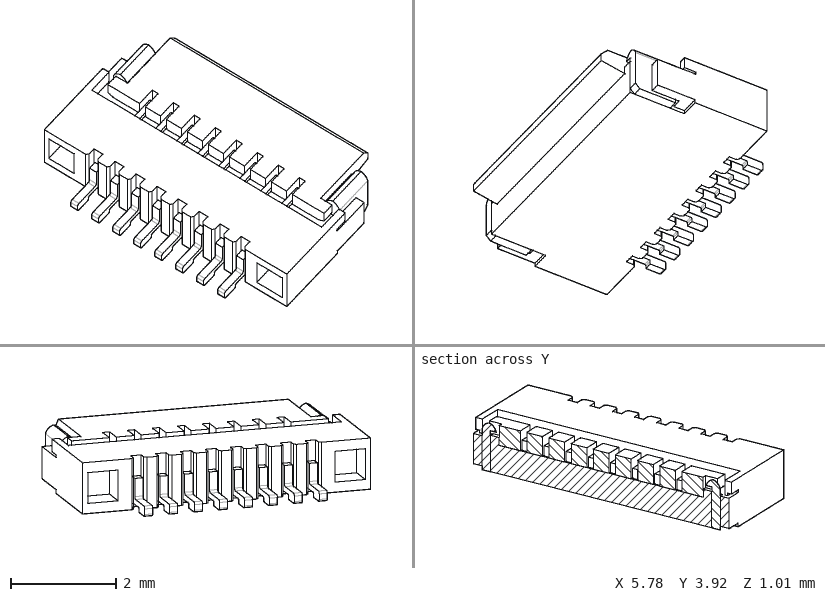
import cadquery as cq


width = 5.78
height = 1.01
half_width = width / 2
roof_depth = 1.305
floor_depth = 2.825
floor_z = 0.71
bed_z = 0.6
cheek_z = 0.765
wall_inner_x = 2.74
wall_end_y = 1.85
slit_inner_x = 2.805
relief_rear_y = 1.61
arm_end_y = 2.45
arm_bottom_z = 0.075

pocket_size = 0.605
pocket_center_x = 2.48
pocket_bottom_z = 0.2
pocket_depth = 0.52

contact_count = 8
contact_row_length = 3.5
pitch = contact_row_length / (contact_count - 1)
slot_width = 0.21
slot_depth = 0.2
slot_chamfer = 0.045
tail_width = 0.16
tail_top_z = 0.605
tail_leg_y = 0.03
tail_end_y = -0.565
beam_bottom_z = 0.09
beam_top_z = 0.2
foot_start_y = -0.215
tail_radius = 0.045
foot_notch_radius = 0.025
blade_width = 0.115
blade_end_y = 1.91
blade_top_z = 0.81

actuator_half_width = 2.305
actuator_rear_y = 1.595
actuator_front_y = 3.35
actuator_bevel_y = 3.21
actuator_nose_top_z = 0.86
actuator_nose_bottom_z = 0.695
ear_half_width = 2.58
ear_bevel_width = 0.13
ear_bevel_height = 0.065
comb_width = 0.14
comb_end_y = 2.0

tab_outer_x = 2.695
tab_plate_inner_x = 2.5
tab_start_y = 1.93
tab_end_y = floor_depth
tab_head_width = 0.325
tab_head_z = 0.85
tab_head_radius = 0.22
tab_chamfer = 0.1

contact_xs = [i * pitch - contact_row_length / 2 for i in range(contact_count)]


def box(x0, x1, y0, y1, z0, z1):
    """Box between two opposite corners."""
    return cq.Workplane("XY").box(x1 - x0, y1 - y0, z1 - z0, centered=False).translate((x0, y0, z0))


def both_sides(shape):
    """The shape together with its mirror image in the plane X = 0."""
    return shape.union(shape.mirror("YZ"))


def make_actuator_space():
    """Space above the stepped floor, between the upper side walls."""
    rear = box(-wall_inner_x, wall_inner_x, roof_depth, wall_end_y, floor_z, height)
    front = box(-actuator_half_width, actuator_half_width, wall_end_y, floor_depth, bed_z, height)
    return rear.union(front)


def make_tab_recess():
    """Recess for the +X solder tab, with the relief under the arm and the slit under the wall."""
    recess = box(tab_plate_inner_x, tab_outer_x, wall_end_y, floor_depth, 0, height)
    relief = box(tab_plate_inner_x, half_width, relief_rear_y, arm_end_y, 0, arm_bottom_z)
    slit = box(slit_inner_x, half_width, actuator_rear_y, wall_end_y, floor_z, cheek_z)
    return recess.union(relief).union(slit)


def make_shell():
    """Rear block, floor, upper side walls and side arms, without the contact features."""
    shell = box(-half_width, half_width, 0, wall_end_y, 0, height)
    shell = shell.union(box(-half_width, half_width, 0, arm_end_y, 0, floor_z))
    shell = shell.union(box(-tab_plate_inner_x, tab_plate_inner_x, 0, floor_depth, 0, cheek_z))
    return shell.cut(make_actuator_space()).cut(both_sides(make_tab_recess()))


def make_pocket():
    """Square blind pocket on the +X side."""
    return box(
        pocket_center_x - pocket_size / 2, pocket_center_x + pocket_size / 2, 0, pocket_depth,
        pocket_bottom_z, pocket_bottom_z + pocket_size,
    )


def make_tail_slot(x):
    """Full-height slot with a chamfered mouth."""
    inner = slot_width / 2
    mouth = inner + slot_chamfer
    return (
        cq.Workplane("XY")
        .moveTo(x - mouth, 0)
        .lineTo(x - inner, slot_chamfer)
        .lineTo(x - inner, slot_depth)
        .lineTo(x + inner, slot_depth)
        .lineTo(x + inner, slot_chamfer)
        .lineTo(x + mouth, 0)
        .close()
        .extrude(height)
    )


def make_tail(x):
    """Contact tail: an upright leg in the slot, a beam and a foot on the mounting face."""
    profile = [
        (slot_depth, beam_bottom_z),
        (slot_depth, tail_top_z),
        (tail_leg_y, tail_top_z),
        (tail_leg_y, beam_top_z),
        (tail_end_y, beam_top_z),
        (tail_end_y, 0),
        (foot_start_y, 0),
        (foot_start_y, beam_bottom_z),
    ]
    tail = cq.Workplane("YZ").polyline(profile).close().extrude(tail_width / 2, both=True)
    rounded_corners = [
        (tail_leg_y, beam_top_z, tail_radius),
        (tail_end_y, beam_top_z, tail_radius),
        (tail_end_y, 0, tail_radius),
        (foot_start_y, beam_bottom_z, foot_notch_radius),
    ]
    for y, z, radius in rounded_corners:
        tail = tail.edges(cq.selectors.NearestToPointSelector((0, y, z))).fillet(radius)
    return tail.translate((x, 0, 0))


def make_blade(x):
    """Contact blade that stands on the floor in front of the rear block."""
    return box(x - blade_width / 2, x + blade_width / 2, roof_depth, blade_end_y, bed_z, blade_top_z)


def make_housing():
    """Housing with its moulded-in contacts."""
    housing = make_shell().cut(both_sides(make_pocket()))
    for x in contact_xs:
        housing = housing.cut(make_tail_slot(x))
        housing = housing.union(make_tail(x)).union(make_blade(x))
    return housing


def make_actuator():
    """Locking flap with a bevelled nose, two bevelled rear ears and a comb of slots over the blades."""
    side_profile = [
        (actuator_rear_y, floor_z),
        (wall_end_y, floor_z),
        (wall_end_y, bed_z),
        (floor_depth, bed_z),
        (actuator_front_y, actuator_nose_bottom_z),
        (actuator_front_y, actuator_nose_top_z),
        (actuator_bevel_y, height),
        (actuator_rear_y, height),
    ]
    actuator = (
        cq.Workplane("YZ").polyline(side_profile).close().extrude(actuator_half_width, both=True)
    )

    ear_profile = [
        (actuator_half_width, floor_z),
        (ear_half_width - ear_bevel_width, floor_z),
        (ear_half_width, floor_z + ear_bevel_height),
        (ear_half_width, height),
        (actuator_half_width, height),
    ]
    ear = (
        cq.Workplane("XZ", origin=(0, wall_end_y, 0))
        .polyline(ear_profile).close()
        .extrude(wall_end_y - actuator_rear_y)
    )
    actuator = actuator.union(both_sides(ear))

    for x in contact_xs:
        actuator = actuator.cut(
            box(x - comb_width / 2, x + comb_width / 2, actuator_rear_y, comb_end_y, bed_z, height)
        )
    return actuator


def make_solder_tab():
    """Solder tab on the +X side: a plate with a ridged head that overhangs the cheek."""
    ridge_x = tab_outer_x - tab_head_width / 2
    head_inner_x = tab_outer_x - tab_head_width
    tab = (
        cq.Workplane("XZ", origin=(0, tab_end_y, 0))
        .moveTo(tab_outer_x, 0)
        .lineTo(tab_outer_x, tab_head_z)
        .radiusArc((ridge_x, height), -tab_head_radius)
        .radiusArc((head_inner_x, tab_head_z), -tab_head_radius)
        .lineTo(tab_plate_inner_x, tab_head_z)
        .lineTo(tab_plate_inner_x, 0)
        .close()
        .extrude(tab_end_y - tab_start_y)
    )
    return tab.edges("|X and >Y and <Z").chamfer(tab_chamfer)


housing = make_housing()
actuator = make_actuator()
right_tab = make_solder_tab()
solder_tabs = [right_tab, right_tab.mirror("YZ")]

result = cq.Compound.makeCompound(
    [housing.val(), actuator.val(), *[tab.val() for tab in solder_tabs]]
)